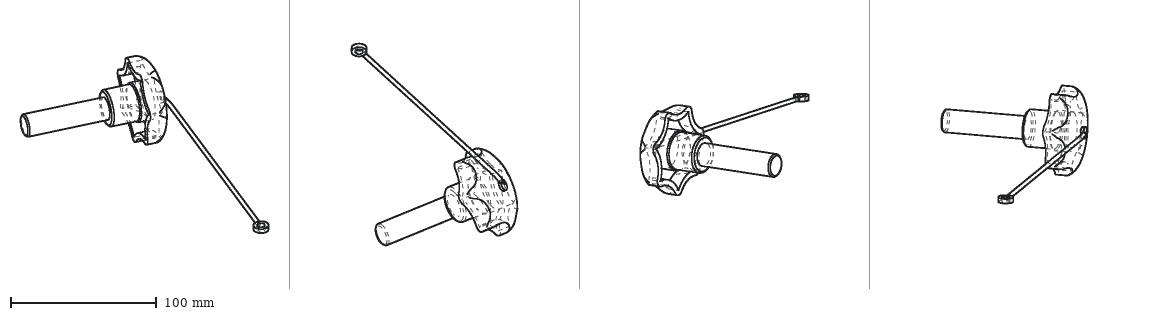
import cadquery as cq
import math

LOBES = 7
TIP_CENTER_RADIUS = 26.7
TIP_RADIUS = 4.8
VALLEY_RADIUS = 25.5
RIM_WALL = 4.1
CAVITY_DEPTH = 10.0

CROWN_RADIUS = 22.0
CROWN_EDGE_Y = 15.0
CROWN_TOP_Y = 18.6

HUB_DIAMETER = 26
HUB_BASE_DIAMETER = 28.0
HUB_LENGTH = 21.0
HUB_CHAMFER = 1.3
STUD_DIAMETER = 16.0
STUD_END_Y = -81.0
STUD_CHAMFER = 1.0

BUTTON_DIAMETER = 8.0
BUTTON_EDGE_Y = 20.4
BUTTON_TOP_Y = 21.5
CORD_DIAMETER = 3.0
CORD_PIN_DIAMETER = 1.7
CORD_START_X = 4.1
CORD_START_Y = 21.0
CORD_BEND_END_X = 15.2
EYE_THICKNESS = 3.3
EYE_DIAMETER = 10.5
EYE_HOLE_DIAMETER = 5.2
TOTAL_LENGTH = 216.8
TOTAL_DEPTH = 108.2

OUTER_RADIUS = TIP_CENTER_RADIUS + TIP_RADIUS
LOBE_ANGLE = 2 * math.pi / LOBES
FIRST_LOBE_ANGLE = -math.pi / 2
KNOB_HALF_WIDTH = TIP_CENTER_RADIUS * math.cos(FIRST_LOBE_ANGLE + 2 * LOBE_ANGLE) + TIP_RADIUS
EYE_X = TOTAL_LENGTH - KNOB_HALF_WIDTH - EYE_DIAMETER / 2
CORD_Y = STUD_END_Y + TOTAL_DEPTH - EYE_DIAMETER / 2

tip_across = TIP_CENTER_RADIUS * math.sin(LOBE_ANGLE / 2)
tip_along = TIP_CENTER_RADIUS * math.cos(LOBE_ANGLE / 2)
tangent_reach = TIP_RADIUS + tip_along - VALLEY_RADIUS
center_offset = (tip_across**2 - tangent_reach**2) / (2 * tangent_reach)
SCALLOP_CENTER_RADIUS = tip_along + center_offset
SCALLOP_RADIUS = SCALLOP_CENTER_RADIUS - VALLEY_RADIUS


def polar(radius, angle):
    return (radius * math.cos(angle), radius * math.sin(angle))


def back_plane(y=0):
    """Sketch plane across the knob axis with local axes X and Z."""
    return cq.Workplane("XZ", origin=(0, y, 0))


def cylinder_along_y(diameter, start_y, end_y):
    return back_plane(start_y).circle(diameter / 2).extrude(start_y - end_y)


def star_outline():
    """Rounded lobe tips joined by tangent scallops."""
    tangent_along = tip_along + TIP_RADIUS * center_offset / (SCALLOP_RADIUS + TIP_RADIUS)
    tangent_across = tip_across * SCALLOP_RADIUS / (SCALLOP_RADIUS + TIP_RADIUS)
    tangent_radius = math.hypot(tangent_along, tangent_across)
    tangent_angle = LOBE_ANGLE / 2 - math.atan2(tangent_across, tangent_along)
    outline = back_plane().moveTo(*polar(tangent_radius, FIRST_LOBE_ANGLE - tangent_angle))
    for i in range(LOBES):
        lobe = FIRST_LOBE_ANGLE + i * LOBE_ANGLE
        valley = lobe + LOBE_ANGLE / 2
        next_lobe = lobe + LOBE_ANGLE
        outline = outline.threePointArc(
            polar(OUTER_RADIUS, lobe), polar(tangent_radius, lobe + tangent_angle)
        ).threePointArc(
            polar(VALLEY_RADIUS, valley), polar(tangent_radius, next_lobe - tangent_angle)
        )
    return outline.close()


def cavity_outline():
    """Scallops set inward by the rim wall, meeting in sharp corners."""
    inner_scallop = SCALLOP_RADIUS + RIM_WALL
    axial = SCALLOP_CENTER_RADIUS * math.cos(LOBE_ANGLE / 2)
    lateral = SCALLOP_CENTER_RADIUS * math.sin(LOBE_ANGLE / 2)
    corner_radius = axial - math.sqrt(inner_scallop**2 - lateral**2)
    outline = back_plane().moveTo(*polar(corner_radius, FIRST_LOBE_ANGLE))
    for i in range(LOBES):
        lobe = FIRST_LOBE_ANGLE + i * LOBE_ANGLE
        outline = outline.threePointArc(
            polar(VALLEY_RADIUS - RIM_WALL, lobe + LOBE_ANGLE / 2),
            polar(corner_radius, lobe + LOBE_ANGLE),
        )
    return outline.close()


def dome():
    """Solid of revolution that limits the back of the knob."""
    crown_drop = CROWN_TOP_Y - CROWN_EDGE_Y
    crown_sphere = (CROWN_RADIUS**2 + crown_drop**2) / (2 * crown_drop)
    shoulder = OUTER_RADIUS - CROWN_RADIUS
    return (
        cq.Workplane("XY")
        .lineTo(OUTER_RADIUS, 0)
        .lineTo(OUTER_RADIUS, CROWN_EDGE_Y - shoulder)
        .radiusArc((CROWN_RADIUS, CROWN_EDGE_Y), -shoulder)
        .radiusArc((0, CROWN_TOP_Y), -crown_sphere)
        .close()
        .revolve(360, (0, 0, 0), (0, 1, 0))
    )


def knob():
    body = star_outline().extrude(-CROWN_TOP_Y).intersect(dome())
    return body.cut(cavity_outline().extrude(-CAVITY_DEPTH))


def hub_and_stud():
    base_chamfer = (HUB_BASE_DIAMETER - HUB_DIAMETER) / 2
    base = cylinder_along_y(HUB_BASE_DIAMETER, CAVITY_DEPTH, -base_chamfer)
    base = base.faces("<Y").chamfer(base_chamfer)
    hub = cylinder_along_y(HUB_DIAMETER, CAVITY_DEPTH, -HUB_LENGTH).faces("<Y").chamfer(HUB_CHAMFER)
    stud = cylinder_along_y(STUD_DIAMETER, 0, STUD_END_Y).faces("<Y").chamfer(STUD_CHAMFER)
    return base.union(hub).union(stud)


def rod(start, end, diameter):
    """Round rod between two points."""
    start_point = cq.Vector(*start)
    axis = cq.Vector(*end) - start_point
    return cq.Workplane(cq.Solid.makeCylinder(diameter / 2, axis.Length, start_point, axis))


def cord():
    """Pin in the button, a gentle bend that levels out, and the straight run to the eye."""
    start = (CORD_START_X, CORD_START_Y, 0)
    bend_end = (CORD_BEND_END_X, CORD_Y, 0)
    run = CORD_BEND_END_X - CORD_START_X
    rise = CORD_Y - CORD_START_Y
    bend_radius = (run**2 + rise**2) / (2 * rise)
    slope = math.asin(run / bend_radius)
    pin = rod((0, BUTTON_TOP_Y - CORD_PIN_DIAMETER / 2, 0), start, CORD_PIN_DIAMETER)
    section = cq.Plane(origin=start, xDir=(0, 0, 1), normal=(math.cos(slope), math.sin(slope), 0))
    bend = cq.Workplane(section).circle(CORD_DIAMETER / 2).revolve(
        math.degrees(slope), (0, bend_radius), (-1, bend_radius)
    )
    straight = rod(bend_end, (EYE_X, CORD_Y, 0), CORD_DIAMETER)
    eye_plane = cq.Workplane("XY", origin=(EYE_X, CORD_Y, -EYE_THICKNESS / 2))
    eye = eye_plane.circle(EYE_DIAMETER / 2).extrude(EYE_THICKNESS)
    hole = eye_plane.circle(EYE_HOLE_DIAMETER / 2).extrude(EYE_THICKNESS)
    return pin.union(bend).union(straight).union(eye).cut(hole)


def button():
    """Round button with a low domed top."""
    radius = BUTTON_DIAMETER / 2
    cap_height = BUTTON_TOP_Y - BUTTON_EDGE_Y
    cap_sphere = (radius**2 + cap_height**2) / (2 * cap_height)
    return (
        cq.Workplane("XY")
        .moveTo(0, CROWN_EDGE_Y)
        .lineTo(radius, CROWN_EDGE_Y)
        .lineTo(radius, BUTTON_EDGE_Y)
        .radiusArc((0, BUTTON_TOP_Y), -cap_sphere)
        .close()
        .revolve(360, (0, 0, 0), (0, 1, 0))
    )


result = knob().union(hub_and_stud()).union(button()).union(cord())